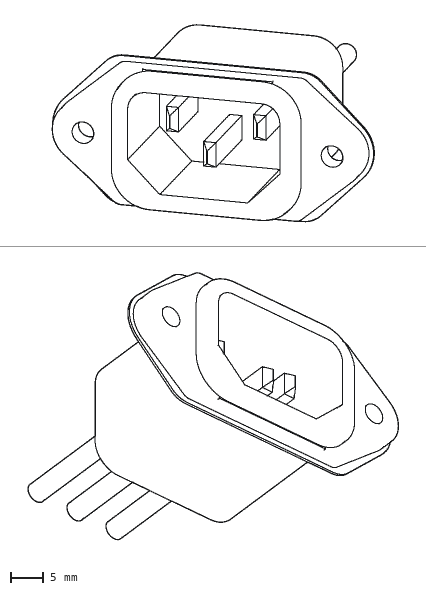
import cadquery as cq
import math


flange_width = 51.6
flange_height = 24.15
flange_thickness = 0.4
flange_shoulder = 16.1
flange_corner_radius = 4.15
screw_spacing = 40.05
screw_hole_diameter = 3.45

platform_width = 50.1
platform_height = 22.4
platform_thickness = 3.05
platform_shoulder = 14.6
platform_corner_radius = 1.6
platform_edge_fillet = 0.35

rim_width = 30.15
rim_height = 22.1
rim_projection = 1.95
rim_corner_radius = 6.2
rim_edge_fillet = 0.8

cavity_width = 24.45
cavity_height = 16.3
cavity_depth = 17.05
cavity_key = 5.15
cavity_corner_radius = 2.95

pin_width = 1.95
pin_height = 3.95
middle_pin_length = 15.3
outer_pin_length = 11.9
pin_tip_length = 1.5
pin_tip_inset = 0.95
pin_spacing = 14.05
pin_stagger = 3.95

housing_width = 27.65
housing_height = 20.35
housing_length = 23.4
housing_corner_radius = 4.7
housing_edge_fillet = 0.65

cable_diameter = 3.3
cable_spacing = 7.7
cable_length = 21.7

platform_back = -flange_thickness
platform_front = platform_back - platform_thickness
rim_front = platform_front - rim_projection
cavity_floor = rim_front + cavity_depth


def plane_at(y):
    """XZ sketch plane at the given Y; positive extrusion runs toward -Y."""
    return cq.Workplane("XZ", origin=(0, y, 0))


def tapered_plate(width, height, shoulder, corner_radius, back, thickness):
    """Plate whose slanted sides run tangent into end arcs centred on the screw holes."""
    end_centre = screw_spacing / 2
    end_radius = width / 2 - end_centre
    top = height / 2
    reach = math.hypot(end_centre - shoulder, top)
    toward_shoulder = math.atan2(top, shoulder - end_centre)
    touch_angle = toward_shoulder - math.acos(end_radius / reach)
    touch_x = end_centre + end_radius * math.cos(touch_angle)
    touch_z = end_radius * math.sin(touch_angle)
    plate = (
        plane_at(back)
        .moveTo(-shoulder, top)
        .lineTo(shoulder, top)
        .lineTo(touch_x, touch_z)
        .threePointArc((width / 2, 0), (touch_x, -touch_z))
        .lineTo(shoulder, -top)
        .lineTo(-shoulder, -top)
        .lineTo(-touch_x, -touch_z)
        .threePointArc((-width / 2, 0), (-touch_x, touch_z))
        .close()
        .extrude(thickness)
    )
    corner_middle = back - thickness / 2
    for x in (-shoulder, shoulder):
        for z in (-top, top):
            corner = cq.selectors.NearestToPointSelector((x, corner_middle, z))
            plate = plate.edges("|Y").edges(corner).fillet(corner_radius)
    return plate


def rounded_block(width, height, corner_radius, start, length):
    """Block with rounded corners; a negative length extends it toward +Y."""
    return plane_at(start).rect(width, height).extrude(length).edges("|Y").fillet(corner_radius)


def socket_cavity():
    """Socket opening with its lower corners cut off and its upper corners rounded."""
    half_width = cavity_width / 2
    half_height = cavity_height / 2
    outline = [
        (-half_width, half_height),
        (half_width, half_height),
        (half_width, cavity_key - half_height),
        (half_width - cavity_key, -half_height),
        (cavity_key - half_width, -half_height),
        (-half_width, cavity_key - half_height),
    ]
    cavity = plane_at(cavity_floor).polyline(outline).close().extrude(cavity_depth)
    return cavity.edges("|Y and >Z").fillet(cavity_corner_radius)


def contact_pin(x, z, length):
    """Flat pin standing on the cavity floor, with its tip tapered on all four sides."""
    shank = (
        plane_at(cavity_floor)
        .center(x, z)
        .rect(pin_width, pin_height)
        .extrude(length - pin_tip_length)
    )
    tip = (
        plane_at(cavity_floor - length + pin_tip_length)
        .center(x, z)
        .rect(pin_width, pin_height)
        .workplane(offset=pin_tip_length)
        .rect(pin_width - 2 * pin_tip_inset, pin_height - 2 * pin_tip_inset)
        .loft(ruled=True)
    )
    return shank.union(tip)


flange = tapered_plate(
    flange_width, flange_height, flange_shoulder, flange_corner_radius, 0, flange_thickness
)
platform = tapered_plate(
    platform_width, platform_height, platform_shoulder, platform_corner_radius,
    platform_back, platform_thickness,
).faces("<Y").edges().fillet(platform_edge_fillet)

fillet_boundary = platform_height / 2 - platform_edge_fillet
rim_corner_x = rim_width / 2 - rim_corner_radius
rim_corner_z = rim_height / 2 - rim_corner_radius
square_edge_end = rim_corner_x + math.sqrt(
    rim_corner_radius ** 2 - (fillet_boundary - rim_corner_z) ** 2
)
square_edge = (
    plane_at(platform_back).rect(2 * square_edge_end, platform_height).extrude(platform_thickness)
)
platform = platform.union(square_edge)

rim = rounded_block(
    rim_width, rim_height, rim_corner_radius, platform_back, platform_thickness + rim_projection
).faces("<Y").edges().fillet(rim_edge_fillet)

housing = rounded_block(
    housing_width, housing_height, housing_corner_radius, 0, -housing_length
).faces(">Y").edges().fillet(housing_edge_fillet)

cables = (
    plane_at(housing_length)
    .rarray(cable_spacing, 0.5, 3, 1)
    .circle(cable_diameter / 2)
    .extrude(-cable_length)
)

screw_holes = (
    plane_at(0)
    .rarray(screw_spacing, 0.5, 2, 1)
    .circle(screw_hole_diameter / 2)
    .extrude(flange_thickness + platform_thickness)
)

result = flange.union(platform).union(rim).union(housing).union(cables)
result = result.cut(screw_holes).cut(socket_cavity())

result = result.union(contact_pin(0, -pin_stagger / 2, middle_pin_length))
for x in (-pin_spacing / 2, pin_spacing / 2):
    result = result.union(contact_pin(x, pin_stagger / 2, outer_pin_length))